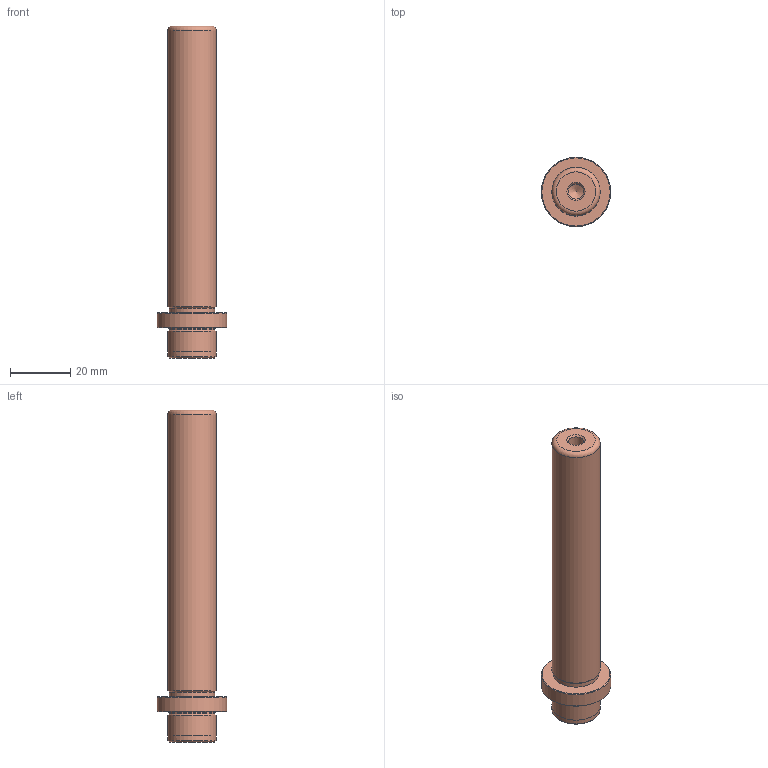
import cadquery as cq
import math

total_length = 110.0
post_diameter = 16.0
top_fillet = 1.5

flange_diameter = 23.0
flange_bottom = 10.0
flange_thickness = 5.0
flange_chamfer = 0.2

groove_depth = 0.5
lower_groove_width = 1.2
upper_groove_width = 2.0
root_fillet = 0.2

spigot_chamfer = 0.45
lead_length = 2.0
lead_end_diameter = 15.95

hole_diameter = 5.0
hole_mouth_diameter = 6.0
hole_depth = 15.0
drill_point_angle = 118.0

post_radius = post_diameter / 2
flange_radius = flange_diameter / 2
lead_end_radius = lead_end_diameter / 2
groove_radius = post_radius - groove_depth
flange_top = flange_bottom + flange_thickness
spigot_top = flange_bottom - lower_groove_width
post_bottom = flange_top + upper_groove_width


def make_body():
    """Revolve the half profile of the stepped post about Z."""
    arc_inset = top_fillet * (1 - math.sqrt(0.5))
    profile = (
        cq.Workplane("XZ")
        .moveTo(0, 0)
        .lineTo(lead_end_radius - spigot_chamfer, 0)
        .lineTo(lead_end_radius, spigot_chamfer)
        .lineTo(post_radius, lead_length)
        .lineTo(post_radius, spigot_top)
        .lineTo(groove_radius, spigot_top + groove_depth)
        .lineTo(groove_radius, flange_bottom - root_fillet)
        .radiusArc((groove_radius + root_fillet, flange_bottom), -root_fillet)
        .lineTo(flange_radius - flange_chamfer, flange_bottom)
        .lineTo(flange_radius, flange_bottom + flange_chamfer)
        .lineTo(flange_radius, flange_top - flange_chamfer)
        .lineTo(flange_radius - flange_chamfer, flange_top)
        .lineTo(groove_radius, flange_top)
        .lineTo(groove_radius, post_bottom - groove_depth)
        .lineTo(post_radius, post_bottom)
        .lineTo(post_radius, total_length - top_fillet)
        .threePointArc(
            (post_radius - arc_inset, total_length - arc_inset),
            (post_radius - top_fillet, total_length),
        )
        .lineTo(0, total_length)
        .close()
    )
    return profile.revolve(360, (0, 0, 0), (0, 1, 0))


def make_hole():
    """Revolve the blind hole with its countersunk mouth and conical drill point."""
    hole_radius = hole_diameter / 2
    mouth_radius = hole_mouth_diameter / 2
    mouth_chamfer = mouth_radius - hole_radius
    point_length = hole_radius / math.tan(math.radians(drill_point_angle / 2))
    hole_bottom = total_length - hole_depth
    profile = (
        cq.Workplane("XZ")
        .moveTo(0, total_length)
        .lineTo(mouth_radius, total_length)
        .lineTo(hole_radius, total_length - mouth_chamfer)
        .lineTo(hole_radius, hole_bottom)
        .lineTo(0, hole_bottom - point_length)
        .close()
    )
    return profile.revolve(360, (0, 0, 0), (0, 1, 0))


result = make_body().cut(make_hole())